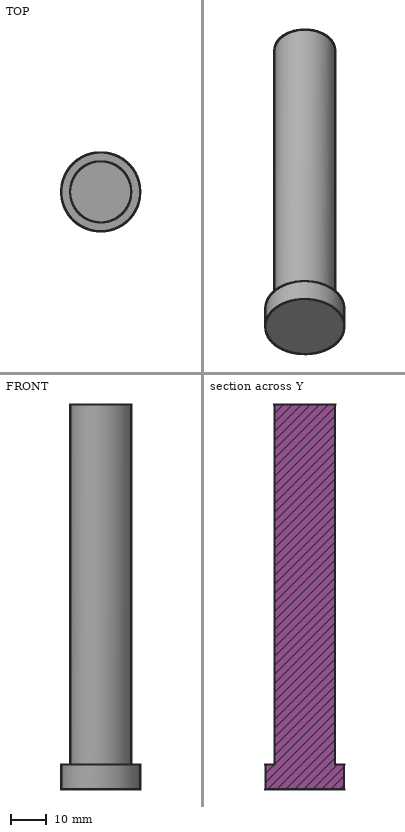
import cadquery as cq

total_length = 107.0
head_diameter = 22.0
head_height = 7.0
shank_diameter = 17.0

head = cq.Workplane("XY").circle(head_diameter / 2).extrude(head_height)
shank = cq.Workplane("XY").circle(shank_diameter / 2).extrude(total_length)

result = head.union(shank)